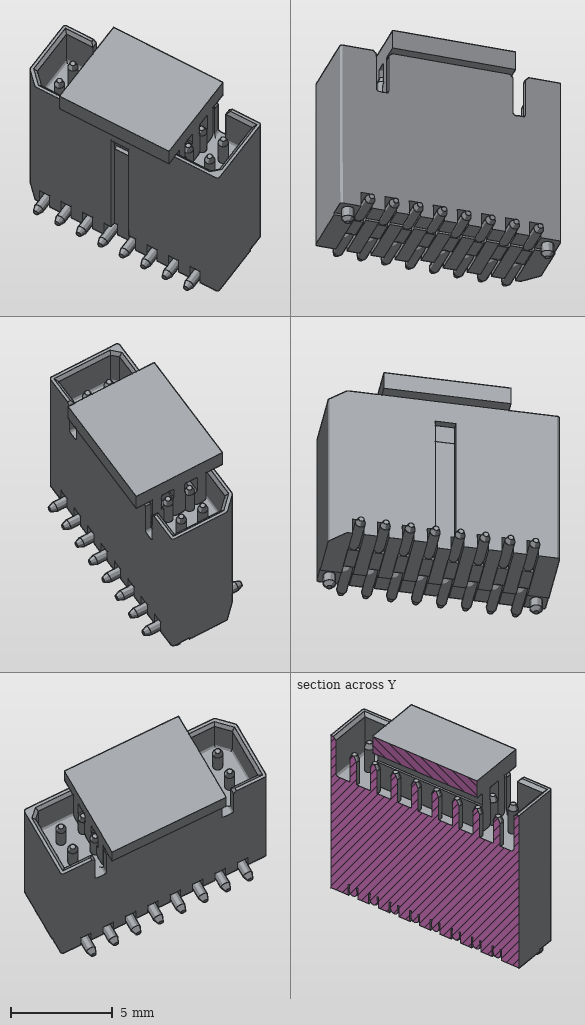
import cadquery as cq
import math

LENGTH = 11.45
WIDTH = 4.0
HEIGHT = 9.3
CAVITY_FLOOR = 6.96
WALL = 0.33
RIM_CHAMFER = 0.17
FLOOR_FILLET = 0.16
CORNER_RADIUS = 0.14
KEY_EDGE_RADIUS = 0.2
KEY_CHAMFER = 0.8
KEY_CHAMFER_INSIDE = 0.64
SMALL_CHAMFER_INSIDE = 0.32

REAR_SLOT_WIDTH = 0.64
REAR_SLOT_X = 3.54
GROOVE_WIDTH = 1.03
GROOVE_TOP = 8.0

PINS_PER_ROW = 8
PITCH = 1.25
PIN_DIAMETER = 0.5
PIN_TIP_DIAMETER = 0.27
PIN_TIP_LENGTH = 0.3
PIN_TOP = 8.63
PIN_BEND_RADIUS = 0.4
LEAD_SPAN = 5.65

NOTCH_WIDTH = 0.57
NOTCH_HEIGHT = 0.92
NOTCH_INNER_HEIGHT = 0.65
NOTCH_SLOPE_LENGTH = 1.1
STANDOFF = 0.11
STANDOFF_LENGTH = 1.0

PEG_DIAMETER = 0.62
PEG_TIP_DIAMETER = 0.25
PEG_TIP_LENGTH = 0.22
PEG_LENGTH = 0.62
PEG_X = 5.18
PEG_Y = 1.48

CAP_LENGTH = 6.37
CAP_WIDTH = 5.0
CAP_THICKNESS = 1.03
OUTER_LEG_FAR = 1.55
OUTER_LEG_NEAR = 1.04
OUTER_LEG_STEP = 0.16
OUTER_LEG_STEP_TOP = 8.15
MIDDLE_LEG_HALF = 0.31
MIDDLE_LEG_STEP = 0.06
MIDDLE_LEG_STEP_TOP = 8.59
LEG_FOOT_RADIUS = 0.22
LEG_ROOT_RADIUS = 0.11

TOLERANCE = 0.001

HALF_LENGTH = LENGTH / 2
HALF_WIDTH = WIDTH / 2
ROW_Y = PITCH / 2
LEAD_Z = PIN_DIAMETER / 2
PIN_XS = [(i - (PINS_PER_ROW - 1) / 2) * PITCH for i in range(PINS_PER_ROW)]
REAR_SLOT_XS = (-REAR_SLOT_X, REAR_SLOT_X)


def box(x_limits, y_limits, z_limits):
    """Axis-aligned box between pairs of limits."""
    (x0, x1), (y0, y1), (z0, z1) = x_limits, y_limits, z_limits
    return cq.Workplane("XY").box(x1 - x0, y1 - y0, z1 - z0, centered=False).translate((x0, y0, z0))


def centered_limits(center, size):
    return center - size / 2, center + size / 2


def tapered_tip(base_point, direction, base_diameter, tip_diameter, length):
    cone = cq.Solid.makeCone(
        base_diameter / 2, tip_diameter / 2, length, cq.Vector(*base_point), cq.Vector(*direction)
    )
    return cq.Workplane(cone)


def outer_block():
    """Plain block with rounded upright edges and the polarizing chamfer."""
    block = box((-HALF_LENGTH, HALF_LENGTH), (-HALF_WIDTH, HALF_WIDTH), (0, HEIGHT))
    key_edge = block.edges("|Z").edges("<X").edges("<Y")
    block = key_edge.chamfer(KEY_CHAMFER)
    plain_edges = block.edges("|Z").edges(">X or >Y")
    block = plain_edges.fillet(CORNER_RADIUS)
    key_side = block.faces("<(1, 1, 0)")
    return key_side.edges("|Z").fillet(KEY_EDGE_RADIUS)


def cavity_outline(margin):
    """Plan of the cavity grown by a margin, with chamfers on its two -Y corners."""
    x = HALF_LENGTH - WALL + margin
    y = HALF_WIDTH - WALL + margin
    chamfer_growth = (2 - math.sqrt(2)) * margin
    key = KEY_CHAMFER_INSIDE + chamfer_growth
    small = SMALL_CHAMFER_INSIDE + chamfer_growth
    return [(-x + key, -y), (x - small, -y), (x, -y + small), (x, y), (-x, y), (-x, -y + key)]


def rear_slot(x):
    """One slot through the +Y wall, from inside the cavity to beyond the outer face."""
    return box(
        centered_limits(x, REAR_SLOT_WIDTH),
        (HALF_WIDTH - 2 * WALL, HALF_WIDTH + WALL),
        (CAVITY_FLOOR, HEIGHT),
    )


def rear_slot_flare(x):
    """Chamfers along the two top edges of a rear slot."""
    half_bottom = REAR_SLOT_WIDTH / 2
    half_top = half_bottom + RIM_CHAMFER
    flare_start = HEIGHT - RIM_CHAMFER
    profile = [
        (x - half_bottom, flare_start),
        (x + half_bottom, flare_start),
        (x + half_top, HEIGHT),
        (x - half_top, HEIGHT),
    ]
    flare = cq.Workplane("XZ").polyline(profile).close().extrude(-WALL)
    return flare.translate((0, HALF_WIDTH - WALL, 0))


def cavity_cutter():
    """Cavity and rear slots with rounded floor edges and a flared rim."""
    floor_plane = cq.Workplane("XY").workplane(offset=CAVITY_FLOOR)
    hollow = floor_plane.polyline(cavity_outline(0)).close().extrude(HEIGHT - CAVITY_FLOOR)
    for x in REAR_SLOT_XS:
        hollow = hollow.union(rear_slot(x))
    hollow = hollow.faces("<Z").edges().fillet(FLOOR_FILLET)
    rim_flare = (
        cq.Workplane("XY")
        .workplane(offset=HEIGHT - RIM_CHAMFER)
        .polyline(cavity_outline(0))
        .close()
        .workplane(offset=RIM_CHAMFER)
        .polyline(cavity_outline(RIM_CHAMFER))
        .close()
        .loft(ruled=True)
    )
    cutter = hollow.union(rim_flare)
    for x in REAR_SLOT_XS:
        cutter = cutter.union(rear_slot_flare(x))
    return cutter


def groove_cutter():
    """Groove in the -Y wall; above the cavity floor it also clears the floor fillet."""
    x_limits = centered_limits(0, GROOVE_WIDTH)
    inner_y = -HALF_WIDTH + WALL
    groove = box(x_limits, (-HALF_WIDTH, inner_y), (0, GROOVE_TOP))
    window = box(x_limits, (-HALF_WIDTH, inner_y + FLOOR_FILLET), (CAVITY_FLOOR, GROOVE_TOP))
    return groove.union(window)


def notch_cutter(x):
    """Lead notches in both long walls at one pin position, joined by a shallow channel."""
    slope_end = HALF_WIDTH - NOTCH_SLOPE_LENGTH
    rear_side = [
        (HALF_WIDTH, 0),
        (HALF_WIDTH, NOTCH_HEIGHT),
        (slope_end, NOTCH_INNER_HEIGHT),
        (ROW_Y, NOTCH_INNER_HEIGHT),
        (ROW_Y, STANDOFF),
    ]
    front_side = [(-y, z) for y, z in reversed(rear_side)]
    profile = rear_side + front_side
    cutter = cq.Workplane("YZ").polyline(profile).close().extrude(NOTCH_WIDTH / 2, both=True)
    return cutter.translate((x, 0, 0))


def standoff_cutter():
    """Shallow step along the rear bottom edge."""
    return box(
        (-HALF_LENGTH, HALF_LENGTH), (HALF_WIDTH - STANDOFF_LENGTH, HALF_WIDTH), (0, STANDOFF)
    )


def contact_pin():
    """Front-row pin at x = 0: upright shank, quarter bend and a lead pointing toward -Y."""
    shank_top = PIN_TOP - PIN_TIP_LENGTH
    lead_end = -LEAD_SPAN / 2 + PIN_TIP_LENGTH
    bend_middle = PIN_BEND_RADIUS * (1 - math.sqrt(0.5))
    path = (
        cq.Workplane("YZ")
        .moveTo(-ROW_Y, shank_top)
        .lineTo(-ROW_Y, LEAD_Z + PIN_BEND_RADIUS)
        .threePointArc(
            (-ROW_Y - bend_middle, LEAD_Z + bend_middle), (-ROW_Y - PIN_BEND_RADIUS, LEAD_Z)
        )
        .lineTo(lead_end, LEAD_Z)
    )
    section = cq.Workplane("XY").workplane(offset=shank_top).center(0, -ROW_Y).circle(PIN_DIAMETER / 2)
    pin = section.sweep(path)
    tip_sizes = (PIN_DIAMETER, PIN_TIP_DIAMETER, PIN_TIP_LENGTH)
    pin = pin.union(tapered_tip((0, -ROW_Y, shank_top), (0, 0, 1), *tip_sizes))
    return pin.union(tapered_tip((0, lead_end, LEAD_Z), (0, -1, 0), *tip_sizes))


def locating_peg(x):
    cone_start = PEG_TIP_LENGTH - PEG_LENGTH
    peg = (
        cq.Workplane("XY")
        .workplane(offset=cone_start)
        .center(x, PEG_Y)
        .circle(PEG_DIAMETER / 2)
        .extrude(STANDOFF - cone_start)
    )
    tip = tapered_tip(
        (x, PEG_Y, cone_start), (0, 0, -1), PEG_DIAMETER, PEG_TIP_DIAMETER, PEG_TIP_LENGTH
    )
    return peg.union(tip)


def make_housing():
    """Housing with its moulded-in pins and pegs, one solid."""
    housing = outer_block().cut(cavity_cutter()).cut(groove_cutter()).cut(standoff_cutter())
    for x in PIN_XS:
        housing = housing.cut(notch_cutter(x))
    front_pin = contact_pin()
    rear_pin = front_pin.mirror("XZ")
    for x in PIN_XS:
        housing = housing.union(front_pin.translate((x, 0, 0)))
        housing = housing.union(rear_pin.translate((x, 0, 0)))
    for x in (-PEG_X, PEG_X):
        housing = housing.union(locating_peg(x))
    return housing


def cap_leg(profile):
    """Leg running the length of the cap, with a rounded foot."""
    leg = cq.Workplane("YZ").polyline(profile).close().extrude(CAP_LENGTH / 2, both=True)
    return leg.faces("<Z").edges("|X").fillet(LEG_FOOT_RADIUS)


def outer_leg():
    """Leg on the +Y side, stepped toward the pins."""
    step_y = OUTER_LEG_NEAR - OUTER_LEG_STEP
    return cap_leg([
        (OUTER_LEG_FAR, HEIGHT),
        (OUTER_LEG_FAR, CAVITY_FLOOR),
        (step_y, CAVITY_FLOOR),
        (step_y, OUTER_LEG_STEP_TOP - OUTER_LEG_STEP),
        (OUTER_LEG_NEAR, OUTER_LEG_STEP_TOP),
        (OUTER_LEG_NEAR, HEIGHT),
    ])


def middle_leg():
    """Leg between the two pin rows, stepped on both sides."""
    step_y = MIDDLE_LEG_HALF + MIDDLE_LEG_STEP
    step_z = MIDDLE_LEG_STEP_TOP - MIDDLE_LEG_STEP
    right_side = [
        (step_y, CAVITY_FLOOR),
        (step_y, step_z),
        (MIDDLE_LEG_HALF, MIDDLE_LEG_STEP_TOP),
        (MIDDLE_LEG_HALF, HEIGHT),
    ]
    left_side = [(-y, z) for y, z in reversed(right_side)]
    return cap_leg(right_side + left_side)


def make_cap():
    """Flat cap resting on the rim, with three legs standing on the cavity floor."""
    slab = box(
        centered_limits(0, CAP_LENGTH),
        centered_limits(0, CAP_WIDTH),
        (HEIGHT, HEIGHT + CAP_THICKNESS),
    )
    side_leg = outer_leg()
    cap = slab.union(side_leg).union(side_leg.mirror("XZ")).union(middle_leg())
    passage_sides = (-OUTER_LEG_NEAR, -MIDDLE_LEG_HALF, MIDDLE_LEG_HALF, OUTER_LEG_NEAR)
    roots = [
        edge
        for edge in cap.edges("|X").vals()
        if math.isclose(edge.Center().z, HEIGHT, abs_tol=TOLERANCE)
        and any(math.isclose(edge.Center().y, y, abs_tol=TOLERANCE) for y in passage_sides)
    ]
    return cap.newObject(roots).fillet(LEG_ROOT_RADIUS)


housing = make_housing()
cap = make_cap()
result = cq.Compound.makeCompound([housing.solids().val(), cap.solids().val()])